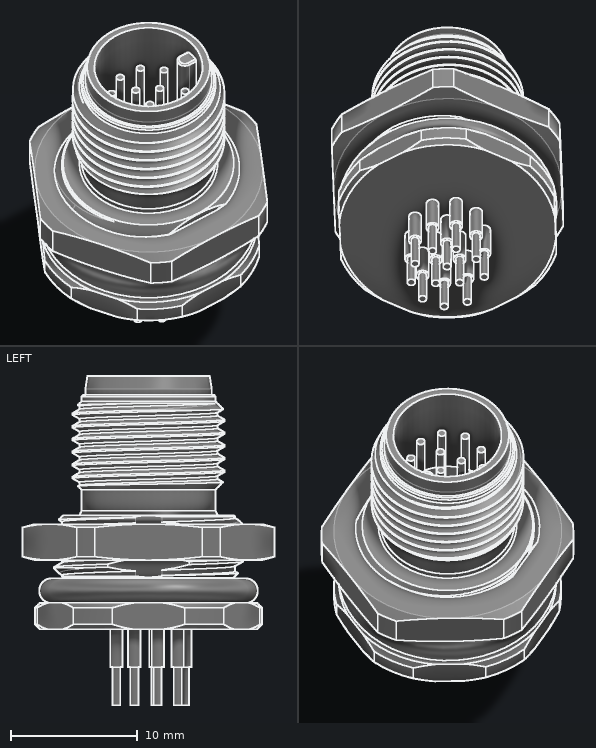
import cadquery as cq
import math

tail_top = 3.02
flange_bottom = 6.0
flange_top = 8.09
panel_thread_bottom = 10.1
nut_bottom = 11.47
nut_top = 14.3
panel_thread_top = 15.0
plug_thread_bottom = 17.03
plug_thread_top = 23.97
shoulder_top = 24.5
overall_height = 26.0

flange_across_flats = 17.0
flange_radius = 8.97
flange_chamfer = 0.4
nut_across_flats = 18.0
nut_corner_radius = 9.945
nut_chamfer_height = 0.25

ring_section_radius = 1.0
ring_outer_radius = 8.63
ring_squeeze = 0.03

panel_crest_radius = 7.5
panel_root_radius = 6.85
panel_pitch = 1.4
panel_crest_flat = 0.23
panel_groove_level = 8.32
panel_end_radius = 6.73
panel_across_flats = 13.52

plug_crest_radius = 6.0
plug_root_radius = 5.45
plug_pitch = 1.0
plug_crest_flat = 0.13
plug_groove_level = 16.22
neck_radius = 5.3
neck_flare = 0.15
neck_flare_height = 0.35
shoulder_chamfer = 0.13

nose_radius = 5.0
nose_tip_radius = 4.84
nose_taper_height = 1.01
cavity_radius = 4.26
cavity_floor = 17.15

key_half_width = 0.6
key_inner_reach = 2.95
key_top = 24.7
key_chamfer = 0.13
key_wall_overlap = 0.13

pin_radius = 0.3
pin_top = 22.88
cup_radius = 0.5
outer_circle_radius = 2.9
outer_pin_count = 9
outer_pin_step = 37.7
inner_circle_radius = 1.1
inner_pin_count = 3

thread_half_angle = 30.0
thread_run_out = 2.6
groove_overcut = 0.03


def revolved(points):
    """Solid of revolution about Z from (radius, height) points."""
    section = [(-radius, height) for radius, height in points]
    return cq.Workplane("YZ").polyline(section).close().revolve(360, (0, 0, 0), (0, 1, 0))


def hexagon(across_flats, bottom, top):
    """Hexagonal prism with one pair of flats facing -X and +X."""
    across_corners = across_flats / math.cos(math.radians(30))
    prism = cq.Workplane("XY").polygon(6, across_corners).extrude(top - bottom)
    return prism.rotate((0, 0, 0), (0, 0, 1), 30).translate((0, 0, bottom))


def thread_groove(root_radius, crest_radius, pitch, crest_flat, start, top):
    """V groove with a flat root, wound right-handed from the +X side at the start level."""
    tan_flank = math.tan(math.radians(thread_half_angle))
    mouth_half = (pitch - crest_flat) / 2
    root_half = mouth_half - (crest_radius - root_radius) * tan_flank
    outer_radius = crest_radius + groove_overcut
    outer_half = mouth_half + groove_overcut * tan_flank
    section = [
        (root_radius, start - root_half),
        (outer_radius, start - outer_half),
        (outer_radius, start + outer_half),
        (root_radius, start + root_half),
    ]
    helix = cq.Wire.makeHelix(pitch, top - start, root_radius, cq.Vector(0, 0, start))
    return cq.Workplane("XZ").polyline(section).close().sweep(cq.Workplane(obj=helix), isFrenet=True)


def threaded_cylinder(crest_radius, root_radius, end_radius, pitch, crest_flat, groove_level, bottom, top):
    """Threaded cylinder with 45 degree chamfers down to end_radius; the thread runs out at both ends."""
    blank = (
        cq.Workplane("XY").workplane(offset=bottom - thread_run_out)
        .circle(crest_radius).extrude(top - bottom + 2 * thread_run_out)
    )
    groove = thread_groove(root_radius, crest_radius, pitch, crest_flat, groove_level, top + pitch)
    half = (top - bottom) / 2
    double_cone = revolved([
        (0, bottom), (end_radius, bottom), (end_radius + half, bottom + half), (end_radius, top), (0, top),
    ])
    return blank.cut(groove).intersect(double_cone)


def panel_thread():
    thread = threaded_cylinder(
        panel_crest_radius, panel_root_radius, panel_end_radius, panel_pitch, panel_crest_flat,
        panel_groove_level, panel_thread_bottom, panel_thread_top,
    )
    flats = cq.Workplane("XY").box(panel_across_flats, 3 * panel_crest_radius, 2 * overall_height)
    return thread.intersect(flats)


def plug_thread():
    return threaded_cylinder(
        plug_crest_radius, plug_root_radius, neck_radius, plug_pitch, plug_crest_flat,
        plug_groove_level, plug_thread_bottom, plug_thread_top,
    )


def core():
    """Turned body inside the threads, from the flange to the nose."""
    return revolved([
        (0, flange_bottom),
        (panel_end_radius, flange_bottom),
        (panel_end_radius, panel_thread_top),
        (neck_radius + neck_flare, panel_thread_top),
        (neck_radius, panel_thread_top + neck_flare_height),
        (neck_radius, shoulder_top - shoulder_chamfer),
        (neck_radius - shoulder_chamfer, shoulder_top),
        (nose_radius, shoulder_top),
        (nose_radius, overall_height - nose_taper_height),
        (nose_tip_radius, overall_height),
        (0, overall_height),
    ])


def wrench_flange():
    z0, z1, c = flange_bottom, flange_top, flange_chamfer
    r = flange_radius
    blank = revolved([(0, z0), (r - c, z0), (r, z0 + c), (r, z1 - c), (r - c, z1), (0, z1)])
    return blank.intersect(hexagon(flange_across_flats, z0, z1))


def sealing_ring():
    mid_radius = ring_outer_radius - ring_section_radius
    mid_level = flange_top + ring_section_radius - ring_squeeze
    return (
        cq.Workplane("XZ").center(-mid_radius, mid_level).circle(ring_section_radius)
        .revolve(360, (mid_radius, 0, 0), (mid_radius, 1, 0))
    )


def lock_nut():
    z0, z1, h = nut_bottom, nut_top, nut_chamfer_height
    face_radius = nut_across_flats / 2
    r = nut_corner_radius
    blank = revolved([(0, z0), (face_radius, z0), (r, z0 + h), (r, z1 - h), (face_radius, z1), (0, z1)])
    return blank.intersect(hexagon(nut_across_flats, z0, z1))


def cavity():
    return cq.Workplane("XY").workplane(offset=cavity_floor).circle(cavity_radius).extrude(overall_height)


def key():
    """Round-nosed post standing on the cavity floor against the +Y wall."""
    tip_y = key_inner_reach + key_half_width
    wall_y = cavity_radius + key_wall_overlap
    post = (
        cq.Workplane("XY").workplane(offset=cavity_floor)
        .moveTo(-key_half_width, wall_y).lineTo(-key_half_width, tip_y)
        .threePointArc((0, key_inner_reach), (key_half_width, tip_y))
        .lineTo(key_half_width, wall_y).close().extrude(key_top - cavity_floor)
    )
    return post.faces(">Z").chamfer(key_chamfer)


def contact(x, y):
    """Pin running from the solder tail to the cavity, with a thicker solder cup."""
    pin = cq.Workplane("XY").center(x, y).circle(pin_radius).extrude(pin_top)
    cup = (
        cq.Workplane("XY").workplane(offset=tail_top).center(x, y)
        .circle(cup_radius).extrude(flange_top - tail_top)
    )
    return pin.union(cup)


def contact_places():
    """Contact centres: an outer circle with a gap at the key, and an inner triangle."""
    outer = [(outer_circle_radius, -90 + (i - outer_pin_count // 2) * outer_pin_step)
             for i in range(outer_pin_count)]
    inner = [(inner_circle_radius, 90 + i * 360 / inner_pin_count) for i in range(inner_pin_count)]
    for radius, angle in outer + inner:
        a = math.radians(angle)
        yield radius * math.cos(a), radius * math.sin(a)


def contacts():
    group = cq.Workplane("XY")
    for x, y in contact_places():
        group = group.add(contact(x, y))
    return group.combine()


result = core().union(panel_thread()).union(plug_thread()).cut(cavity())
result = result.union(key()).union(wrench_flange()).union(sealing_ring()).union(lock_nut())
result = result.union(contacts())